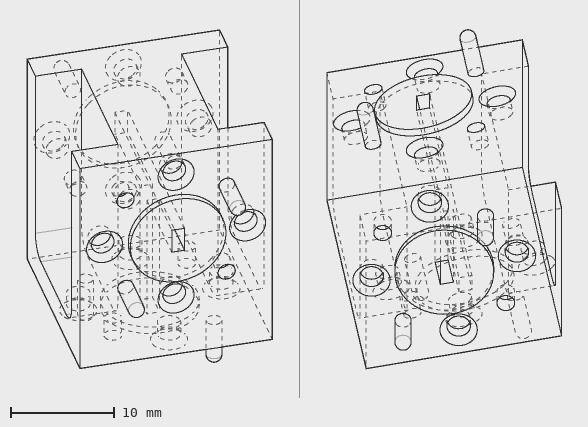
import cadquery as cq
import math


block_width = 19.5
block_depth = 19.2
block_height = 23.25
top_height = 9.55
bottom_height = block_height - top_height

web_thickness = 9.98
side_wall = 3.05
floor_wall = 3.0
pocket_corner_radius = 2.0
pocket_width = block_width - 2 * side_wall
pocket_height = block_height - floor_wall
pocket_depth = (block_depth - web_thickness) / 2

boss_diameter = 9.55
boss_height = 0.75
bolt_circle_radius = 7.13
dowel_offset = bolt_circle_radius * math.sqrt(0.5)

pin_diameter = 1.57
pin_length = 4.75
pin_radius = pin_diameter / 2

dowel_hole_diameter = 1.7
dowel_hole_depth = 2.0

screw_hole_diameter = 2.25
screw_hole_depth = 2.0
drill_point_angle = 118
countersink_diameter = 3.6
countersink_angle = 90

channel_narrow = 1.28
channel_broad = 2.55

left_port = cq.Plane(origin=(-block_width / 2, 0, 0), xDir=(0, -1, 0), normal=(-1, 0, 0))
right_port = cq.Plane(origin=(block_width / 2, 0, 0), xDir=(0, 1, 0), normal=(1, 0, 0))
bottom_port = cq.Plane(origin=(0, 0, -bottom_height), xDir=(0, 1, 0), normal=(0, 0, -1))

pin_points = [(dowel_offset, dowel_offset), (-dowel_offset, -dowel_offset)]
dowel_hole_points = [(-dowel_offset, dowel_offset), (dowel_offset, -dowel_offset)]


def block():
    return (
        cq.Workplane("XY")
        .workplane(offset=-bottom_height)
        .rect(block_width, block_depth)
        .extrude(block_height)
    )


def pocket(side):
    """Pocket cutter with rounded lower corners; side is -1 for the front, 1 for the back."""
    return (
        cq.Workplane("XY")
        .box(pocket_width, pocket_depth, pocket_height)
        .edges("|Y and <Z")
        .fillet(pocket_corner_radius)
        .translate((
            0,
            side * (block_depth - pocket_depth) / 2,
            top_height - pocket_height / 2,
        ))
    )


def port_additions(face):
    """Round boss and two round-nosed dowel pins standing on a port face."""
    boss = cq.Workplane(face).circle(boss_diameter / 2).extrude(boss_height)
    shank_length = pin_length - pin_radius
    shanks = cq.Workplane(face).pushPoints(pin_points).circle(pin_radius).extrude(shank_length)
    noses = cq.Workplane(face).workplane(offset=shank_length).pushPoints(pin_points).sphere(pin_radius)
    return boss.union(shanks).union(noses)


def screw_hole():
    """Countersunk blind hole with a drill point, opening at the local origin and running to -Z."""
    bore_radius = screw_hole_diameter / 2
    sink_radius = countersink_diameter / 2
    sink_depth = (sink_radius - bore_radius) / math.tan(math.radians(countersink_angle / 2))
    point_depth = bore_radius / math.tan(math.radians(drill_point_angle / 2))
    profile = [
        (0, 0),
        (sink_radius, 0),
        (bore_radius, -sink_depth),
        (bore_radius, -screw_hole_depth),
        (0, -screw_hole_depth - point_depth),
    ]
    return cq.Workplane("XZ").polyline(profile).close().revolve(360, (0, 0), (0, 1)).val()


def port_cuts(face):
    """Four screw holes, two dowel holes and the channel from the boss to the port axes' crossing."""
    screw_holes = (
        cq.Workplane(face)
        .polarArray(bolt_circle_radius, 0, 360, 4)
        .eachpoint(screw_hole(), useLocalCoordinates=True)
    )
    dowel_holes = (
        cq.Workplane(face)
        .pushPoints(dowel_hole_points)
        .circle(dowel_hole_diameter / 2)
        .extrude(-dowel_hole_depth)
    )
    channel_length = face.origin.Length + boss_height
    channel = (
        cq.Workplane(face)
        .workplane(offset=boss_height)
        .rect(channel_narrow, channel_broad)
        .extrude(-channel_length)
    )
    return [screw_holes, dowel_holes, channel]


result = block()
for side in (-1, 1):
    result = result.cut(pocket(side))

for face in (left_port, right_port, bottom_port):
    result = result.union(port_additions(face))
    for cutter in port_cuts(face):
        result = result.cut(cutter)